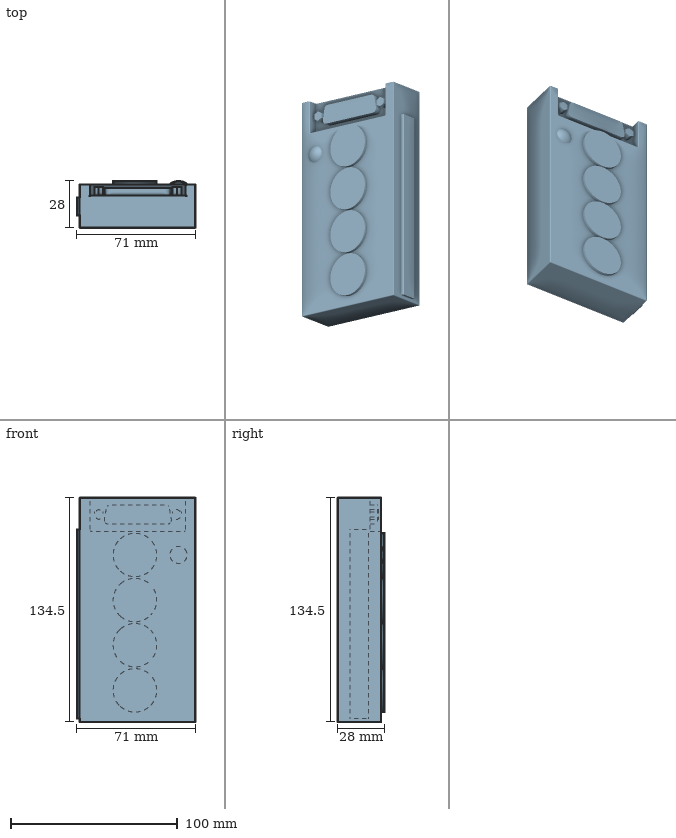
import cadquery as cq
import math

body_width = 69.3
body_depth = 26.0
body_height = 134.5
edge_round = 0.5

rail_projection = 1.7
rail_width = 10.9
rail_front = 7.4
rail_bottom = 2.2
rail_top = 115.5
rail_edge_round = edge_round

button_count = 4
button_radius = 13.0
button_projection = 2.0
button_x = 33.1
button_pitch = 27.0
lowest_button_z = 19.1

lamp_radius = 5.1
lamp_projection = button_projection
lamp_x = 59.2
lamp_z = lowest_button_z + (button_count - 1) * button_pitch

recess_width = 57.2
recess_depth = 6.6
recess_height = 20.2
recess_corner_radius = 0.8
recess_x = 34.8
recess_floor_y = body_depth - recess_depth
recess_bottom_z = body_height - recess_height

connector_z = body_height - recess_height / 2
shell_width = 41.2
shell_height = 11.5
shell_thickness = 4.6
shell_corner_radius = 2.5
shell_side_angle = 10.0

post_spacing = 47.0
post_sides = 6
post_across_flats = 5.2
post_length = 5.0


def upright_plane(y):
    """Plane at the given y with local x along X and local y along Z."""
    return cq.Workplane("XZ", origin=(0, y, 0))


def extrude_back(outline, length):
    """Extrude an outline on an upright plane toward +Y."""
    return outline.extrude(-length)


def make_recess():
    recess = (
        cq.Workplane("XY", origin=(recess_x, recess_floor_y, recess_bottom_z))
        .box(recess_width, recess_depth, recess_height, centered=(True, False, False))
    )
    return recess.edges("|Y and <Z").fillet(recess_corner_radius)


def make_body():
    """Block with the recess cut in; every outer edge, the recess rim included, is rounded."""
    block = cq.Workplane("XY").box(body_width, body_depth, body_height, centered=False)
    body = block.cut(make_recess())
    return body.faces("<X or >X or <Y or >Y or <Z or >Z").edges().fillet(edge_round)


def make_rail():
    """Bar with rounded outer long edges; its inner half is buried in the enclosure wall."""
    rail = (
        cq.Workplane("XY", origin=(-rail_projection, rail_front, rail_bottom))
        .box(2 * rail_projection, rail_width, rail_top - rail_bottom, centered=False)
    )
    return rail.edges("|Z and <X").fillet(rail_edge_round)


def make_buttons():
    centers = [(button_x, lowest_button_z + i * button_pitch) for i in range(button_count)]
    outlines = upright_plane(body_depth).pushPoints(centers).circle(button_radius)
    return extrude_back(outlines, button_projection)


def make_lamp():
    """Spherical cap with the given base radius and height."""
    sphere_radius = (lamp_radius**2 + lamp_projection**2) / (2 * lamp_projection)
    sphere_y = body_depth + lamp_projection - sphere_radius
    sphere = cq.Workplane("XY").sphere(sphere_radius).translate((lamp_x, sphere_y, lamp_z))
    base = upright_plane(body_depth).center(lamp_x, lamp_z).circle(lamp_radius)
    return extrude_back(base, lamp_projection).intersect(sphere)


def make_shell():
    side_lean = shell_height * math.tan(math.radians(shell_side_angle))
    half_bottom = shell_width / 2
    half_top = half_bottom - side_lean
    half_height = shell_height / 2
    outline = (
        upright_plane(recess_floor_y)
        .center(recess_x, connector_z)
        .polyline([
            (-half_bottom, -half_height),
            (half_bottom, -half_height),
            (half_top, half_height),
            (-half_top, half_height),
        ])
        .close()
    )
    return extrude_back(outline, shell_thickness).edges("|Y").fillet(shell_corner_radius)


def make_post(x):
    """Hexagonal post with one corner pointing up."""
    half_side_angle = 180 / post_sides
    across_corners = post_across_flats / math.cos(math.radians(half_side_angle))
    post = extrude_back(upright_plane(recess_floor_y).polygon(post_sides, across_corners), post_length)
    return post.rotate((0, 0, 0), (0, 1, 0), half_side_angle).translate((x, 0, connector_z))


result = make_body().union(make_rail()).union(make_buttons()).union(make_lamp()).union(make_shell())
for side in (-1, 1):
    result = result.union(make_post(recess_x + side * post_spacing / 2))